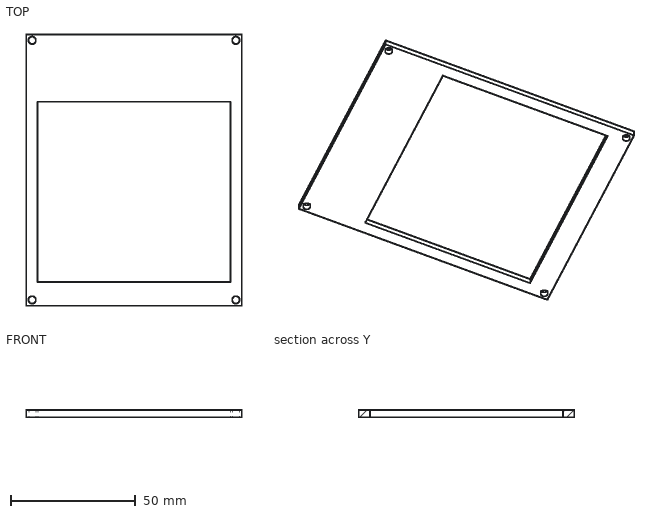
import cadquery as cq

width = 86.45
length = 108.81
thickness = 3.0

side_margin = 4.6
front_margin = 9.6
back_margin = 27.1

hole_diameter = 2.9
hole_inset = 2.4


def make_plate():
    """Flat plate with one corner at the origin."""
    return cq.Workplane("XY").box(width, length, thickness, centered=False)


def make_window():
    """Cutter for the through window."""
    window_width = width - 2 * side_margin
    window_length = length - front_margin - back_margin
    return (
        cq.Workplane("XY")
        .box(window_width, window_length, thickness, centered=False)
        .translate((side_margin, front_margin, 0))
    )


def make_corner_holes():
    """Cutters for the through holes, one in each corner of the plate."""
    centres = [
        (x, y)
        for x in (hole_inset, width - hole_inset)
        for y in (hole_inset, length - hole_inset)
    ]
    return cq.Workplane("XY").pushPoints(centres).circle(hole_diameter / 2).extrude(thickness)


result = make_plate().cut(make_window()).cut(make_corner_holes())